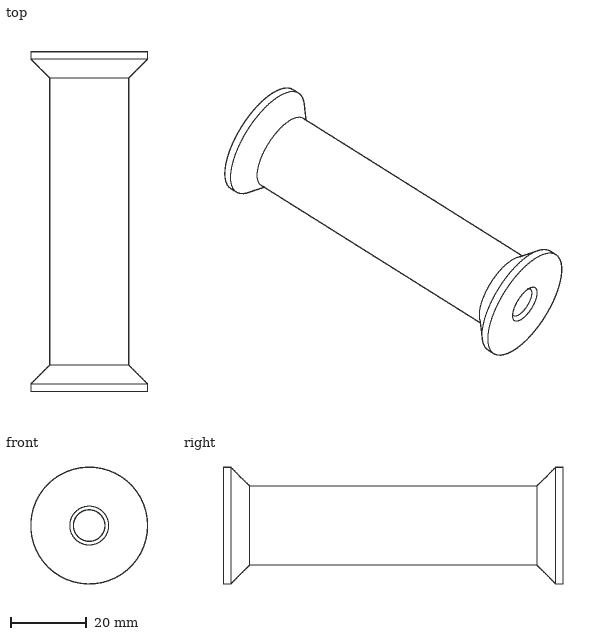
import cadquery as cq

length = 90.0
flange_diameter = 31.0
barrel_diameter = 21.0
bore_diameter = 8.3
rim_thickness = 2.0
countersink_diameter = 10.3

flange_radius = flange_diameter / 2
barrel_radius = barrel_diameter / 2
bore_radius = bore_diameter / 2
countersink_radius = countersink_diameter / 2
half_length = length / 2

flange_cone_length = flange_radius - barrel_radius
countersink_depth = countersink_radius - bore_radius

rim_inner_y = half_length - rim_thickness
cone_inner_y = rim_inner_y - flange_cone_length
countersink_inner_y = half_length - countersink_depth


def make_spool():
    """Revolve the half section of the countersunk tube with its two flanges."""
    return (
        cq.Workplane("XY")
        .moveTo(bore_radius, -countersink_inner_y)
        .lineTo(countersink_radius, -half_length)
        .lineTo(flange_radius, -half_length)
        .lineTo(flange_radius, -rim_inner_y)
        .lineTo(barrel_radius, -cone_inner_y)
        .lineTo(barrel_radius, cone_inner_y)
        .lineTo(flange_radius, rim_inner_y)
        .lineTo(flange_radius, half_length)
        .lineTo(countersink_radius, half_length)
        .lineTo(bore_radius, countersink_inner_y)
        .close()
        .revolve(360, (0, 0, 0), (0, 1, 0))
    )


result = make_spool()